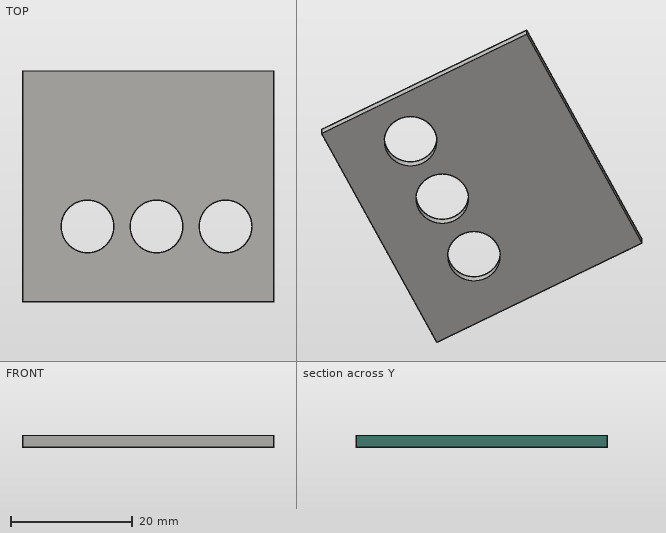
import cadquery as cq

length = 41.4
width = 38.1
thickness = 2.0

hole_diameter = 8.65
hole_count = 3
hole_pitch = 11.4
first_hole_from_left = 10.7
row_from_front = 12.4

plate = cq.Workplane("XY").box(length, width, thickness, centered=False)

hole_centers = [
    (first_hole_from_left + index * hole_pitch, row_from_front)
    for index in range(hole_count)
]
holes = (
    cq.Workplane("XY")
    .pushPoints(hole_centers)
    .circle(hole_diameter / 2)
    .extrude(thickness)
)

result = plate.cut(holes)